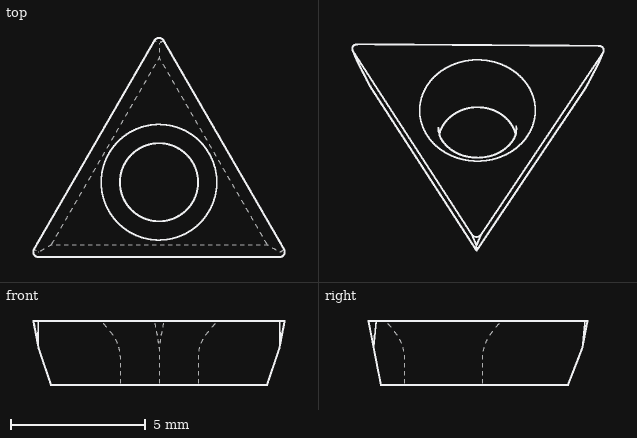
import cadquery as cq
import math

length = 9.34
thickness = 2.38
nose_radius = 0.2
relief_angle = math.radians(11)

throat_radius = 1.45
seat_top_radius = 2.15
seat_angle = math.radians(40)
seat_blend_radius = 1.4

nose_centre_side = length - 2 * nose_radius
nose_centre_distance = nose_centre_side / math.sqrt(3)
top_inradius = nose_centre_distance / 2 + nose_radius
bottom_inradius = top_inradius - thickness * math.tan(relief_angle)

nose_depth = nose_radius / math.tan(relief_angle)
corner_angles = (90, 210, 330)
corner_pitch = 120
nose_arc_angle = 120


def polar_point(radius, angle, z):
    return cq.Vector(radius * math.cos(math.radians(angle)), radius * math.sin(math.radians(angle)), z)


def planar_face(points):
    return cq.Face.makeFromWires(cq.Wire.makePolygon(points, close=True))


def nose_face(angle):
    """Conical nose surface, with its apex down on the sharp corner edge."""
    axis = cq.Vector(0, 0, 1)
    apex = polar_point(nose_centre_distance, angle, thickness - nose_depth)
    cone = cq.Solid.makeCone(0, nose_radius, nose_depth, cq.Vector(), axis, nose_arc_angle)
    cone_face = cq.Workplane(cone).faces("%CONE").val()
    turned = cone_face.rotate(cq.Vector(), axis, angle - nose_arc_angle / 2)
    return turned.translate(apex)


def flank_face(start_angle, end_angle):
    """Sloping flank between two corners, narrowed at the top by the two noses."""
    normal_angle = start_angle + nose_arc_angle / 2
    flank_offset = polar_point(nose_radius, normal_angle, 0)
    nose_bottom = thickness - nose_depth
    return planar_face([
        polar_point(2 * bottom_inradius, start_angle, 0),
        polar_point(2 * bottom_inradius, end_angle, 0),
        polar_point(nose_centre_distance, end_angle, nose_bottom),
        polar_point(nose_centre_distance, end_angle, thickness) + flank_offset,
        polar_point(nose_centre_distance, start_angle, thickness) + flank_offset,
        polar_point(nose_centre_distance, start_angle, nose_bottom),
    ])


def top_face():
    edges = []
    for angle in corner_angles:
        centre = polar_point(nose_centre_distance, angle, thickness)
        arc_start = centre + polar_point(nose_radius, angle - nose_arc_angle / 2, 0)
        arc_middle = centre + polar_point(nose_radius, angle, 0)
        arc_end = centre + polar_point(nose_radius, angle + nose_arc_angle / 2, 0)
        next_centre = polar_point(nose_centre_distance, angle + corner_pitch, thickness)
        next_start = next_centre + polar_point(nose_radius, angle + corner_pitch - nose_arc_angle / 2, 0)
        edges.append(cq.Edge.makeThreePointArc(arc_start, arc_middle, arc_end))
        edges.append(cq.Edge.makeLine(arc_end, next_start))
    return cq.Face.makeFromWires(cq.Wire.assembleEdges(edges))


def insert_body():
    faces = [top_face(), planar_face([polar_point(2 * bottom_inradius, a, 0) for a in corner_angles])]
    for angle in corner_angles:
        faces.append(nose_face(angle))
        faces.append(flank_face(angle, angle + corner_pitch))
    return cq.Workplane(cq.Solid.makeSolid(cq.Shell.makeShell(faces)).fix())


def screw_hole():
    """Conical seat blended by a tangent arc into a cylindrical throat."""
    blend_centre_radius = throat_radius + seat_blend_radius
    blend_top_radius = blend_centre_radius - seat_blend_radius * math.cos(seat_angle)
    blend_top_z = thickness - (seat_top_radius - blend_top_radius) / math.tan(seat_angle)
    throat_top_z = blend_top_z - seat_blend_radius * math.sin(seat_angle)
    half_angle = seat_angle / 2
    blend_middle = (
        blend_centre_radius - seat_blend_radius * math.cos(half_angle),
        throat_top_z + seat_blend_radius * math.sin(half_angle),
    )
    return (
        cq.Workplane("XZ")
        .moveTo(0, 0)
        .lineTo(throat_radius, 0)
        .lineTo(throat_radius, throat_top_z)
        .threePointArc(blend_middle, (blend_top_radius, blend_top_z))
        .lineTo(seat_top_radius, thickness)
        .lineTo(0, thickness)
        .close()
        .revolve(360, (0, 0, 0), (0, 1, 0))
    )


result = insert_body().cut(screw_hole())